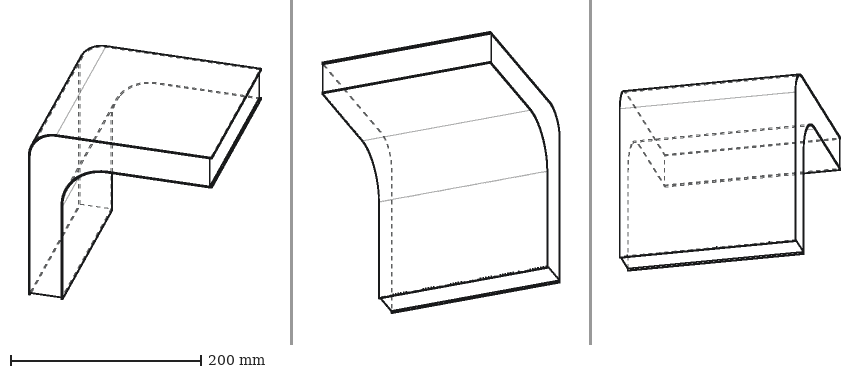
import cadquery as cq
import math

LEG_LENGTH = 200.0
WIDTH = 190.0
PANEL_THICKNESS = 37.0
SKIN_THICKNESS = 1.5
OUTER_BEND_RADIUS = 30.0
INNER_BEND_RADIUS = 48.5
CORE_SETBACK = 2.0

CORE_TOP = SKIN_THICKNESS
CORE_BOTTOM = PANEL_THICKNESS - SKIN_THICKNESS

CORE_TOP_RADIUS = OUTER_BEND_RADIUS - SKIN_THICKNESS
CORE_BOTTOM_RADIUS = INNER_BEND_RADIUS + SKIN_THICKNESS


def bend_points(depth, radius):
    """Start, middle and end of the bend at a depth below the outside face."""
    center = depth + radius
    middle = center - radius * math.sqrt(0.5)
    return (depth, -center), (middle, -middle), (center, -depth)


def bent_layer(top_depth, top_radius, bottom_depth, bottom_radius, length):
    """L-shaped layer between two depths, with its outside corner at X = Z = 0."""
    top_start, top_middle, top_end = bend_points(top_depth, top_radius)
    bottom_start, bottom_middle, bottom_end = bend_points(bottom_depth, bottom_radius)
    return (
        cq.Workplane("XZ")
        .moveTo(top_depth, -length)
        .lineTo(*top_start)
        .threePointArc(top_middle, top_end)
        .lineTo(length, -top_depth)
        .lineTo(length, -bottom_depth)
        .lineTo(*bottom_end)
        .threePointArc(bottom_middle, bottom_start)
        .lineTo(bottom_depth, -length)
        .close()
        .extrude(WIDTH / 2, both=True)
    )


outer_skin = bent_layer(0, OUTER_BEND_RADIUS, CORE_TOP, CORE_TOP_RADIUS, LEG_LENGTH)

core = bent_layer(
    CORE_TOP, CORE_TOP_RADIUS, CORE_BOTTOM, CORE_BOTTOM_RADIUS, LEG_LENGTH - CORE_SETBACK
)

inner_skin = bent_layer(
    CORE_BOTTOM, CORE_BOTTOM_RADIUS, PANEL_THICKNESS, INNER_BEND_RADIUS, LEG_LENGTH
)

result = cq.Compound.makeCompound([outer_skin.val(), core.val(), inner_skin.val()])